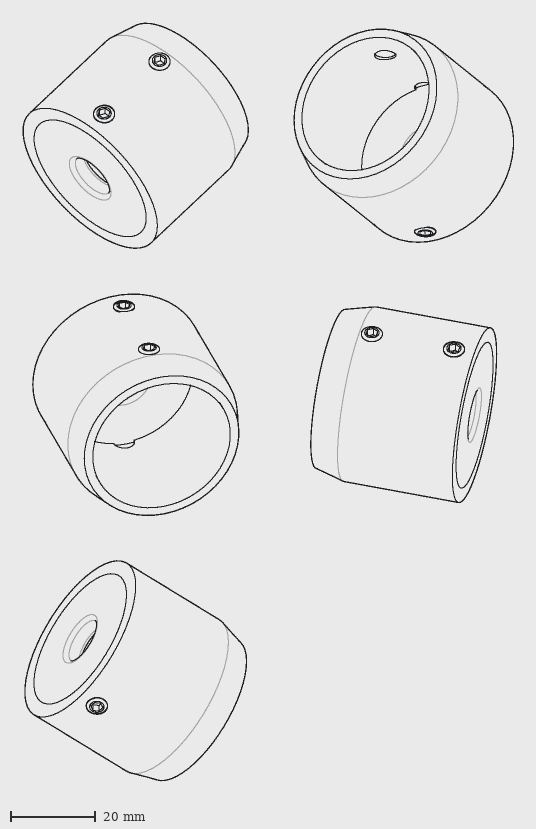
import cadquery as cq
import math

housing_diameter = 42.0
length = 35.0
taper_length = 7.0
taper_angle = 15.0
bore_diameter = 34.0

plate_diameter = 35.0
plate_thickness = 5.0
plate_hole_diameter = 11.0
hole_fillet = 1.0

screw_diameter = 5.0
screw_end_diameter = 3.4
screw_chamfer_angle = 30.0
hex_across_flats = 2.45
socket_depth = 2.0
socket_point_angle = 120.0
front_screw_y = 5.0
back_screw_y = 25.0
front_screw_protrusion = 0.15
back_screw_protrusion = 0.4

housing_radius = housing_diameter / 2
plate_radius = plate_diameter / 2
bore_radius = bore_diameter / 2
screw_chamfer_width = (screw_diameter - screw_end_diameter) / 2
screw_chamfer_height = screw_chamfer_width * math.tan(math.radians(screw_chamfer_angle))

screw_places = [
    (front_screw_y, 1, front_screw_protrusion),
    (front_screw_y, -1, front_screw_protrusion),
    (back_screw_y, 1, back_screw_protrusion),
]


def turn_to_side(body, side):
    """Turn a body modelled on the upper side to the lower side when side is -1."""
    if side > 0:
        return body
    return body.rotate((0, 0, 0), (0, 1, 0), 180)


def make_socket(y, top):
    """Cutter for a hex socket that ends in a cone through the hexagon's corners."""
    corner_radius = hex_across_flats / 2 / math.cos(math.radians(30))
    point_depth = corner_radius / math.tan(math.radians(socket_point_angle / 2))
    deepest = top - socket_depth - point_depth
    pointed_rod = (
        cq.Workplane("XZ", origin=(0, y, deepest))
        .polyline([
            (0, 0),
            (corner_radius, point_depth),
            (corner_radius, point_depth + socket_depth),
            (0, point_depth + socket_depth),
        ])
        .close()
        .revolve(360, (0, 0, 0), (0, 1, 0))
    )
    hexagon = (
        cq.Workplane("XY", origin=(0, y, deepest))
        .polygon(6, 2 * corner_radius)
        .extrude(top - deepest)
    )
    return hexagon.intersect(pointed_rod)


def make_screw(y, side, protrusion):
    """Set screw with a chamfered outer end, a hex socket and a flat inner end."""
    top = housing_radius + protrusion
    screw = (
        cq.Workplane("XY", origin=(0, y, plate_radius))
        .circle(screw_diameter / 2)
        .extrude(top - plate_radius)
        .faces(">Z")
        .chamfer(screw_chamfer_height, screw_chamfer_width)
        .cut(make_socket(y, top))
    )
    return turn_to_side(screw, side)


def make_screw_hole(y, side):
    """Cutter for the radial hole that a screw sits in."""
    start = cq.Workplane("XY", origin=(0, y, 0))
    hole = start.circle(screw_diameter / 2).extrude(housing_diameter)
    return turn_to_side(hole, side)


def make_housing():
    back_radius = housing_radius - taper_length * math.tan(math.radians(taper_angle))
    profile = [
        (plate_radius, 0),
        (housing_radius, 0),
        (housing_radius, length - taper_length),
        (back_radius, length),
        (bore_radius, length),
        (bore_radius, plate_thickness),
        (plate_radius, plate_thickness),
    ]
    housing = cq.Workplane("XY").polyline(profile).close().revolve(360, (0, 0, 0), (0, 1, 0))
    for y, side, _ in screw_places:
        housing = housing.cut(make_screw_hole(y, side))
    return housing


def make_plate():
    plate = (
        cq.Workplane("XZ")
        .circle(plate_radius)
        .circle(plate_hole_diameter / 2)
        .extrude(-plate_thickness)
    )
    return plate.edges(cq.selectors.RadiusNthSelector(0)).fillet(hole_fillet)


housing = make_housing()
plate = make_plate()
screws = [make_screw(*place) for place in screw_places]

result = cq.Compound.makeCompound([
    housing.val(),
    plate.val(),
    *[screw.val() for screw in screws],
])